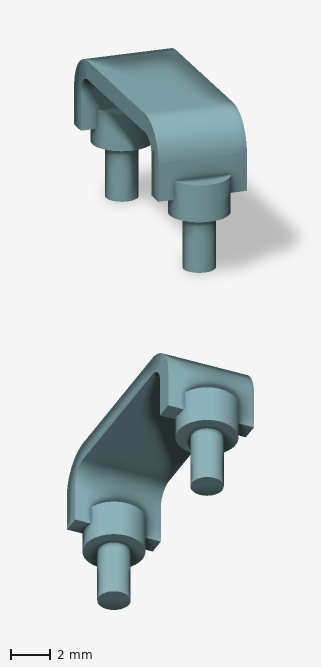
import cadquery as cq

pin_spacing = 11.4
strip_width = 4.8
strip_thickness = 1.0
bend_outer_radius = 2.0
collar_diameter = 3.2
collar_height = 2.0
pin_diameter = 1.7
pin_length = 3.0
leg_embed_depth = 1.0
top_above_collar = 3.1

bend_inner_radius = bend_outer_radius - strip_thickness
span_outer = pin_spacing + strip_thickness
span_inner = pin_spacing - strip_thickness
leg_bottom_z = collar_height - leg_embed_depth
bridge_top_z = collar_height + top_above_collar
bridge_height = bridge_top_z - leg_bottom_z


def rounded_block(span, height, bend_radius):
    """Block standing on the leg ends, with its two upper edges rounded along Y."""
    return (
        cq.Workplane("XY")
        .box(span, strip_width, height, centered=(True, True, False))
        .edges("|Y and >Z")
        .fillet(bend_radius)
        .translate((0, 0, leg_bottom_z))
    )


def make_bridge():
    """Flat strip bent into an inverted U, of constant thickness."""
    outside = rounded_block(span_outer, bridge_height, bend_outer_radius)
    inside = rounded_block(span_inner, bridge_height - strip_thickness, bend_inner_radius)
    return outside.cut(inside)


def make_post(x):
    """Round collar with a thinner pin below it, centred under a leg."""
    base = cq.Workplane("XY").center(x, 0)
    collar = base.circle(collar_diameter / 2).extrude(collar_height)
    pin = base.circle(pin_diameter / 2).extrude(-pin_length)
    return collar.union(pin)


result = make_bridge()
for side in (-1, 1):
    result = result.union(make_post(side * pin_spacing / 2))